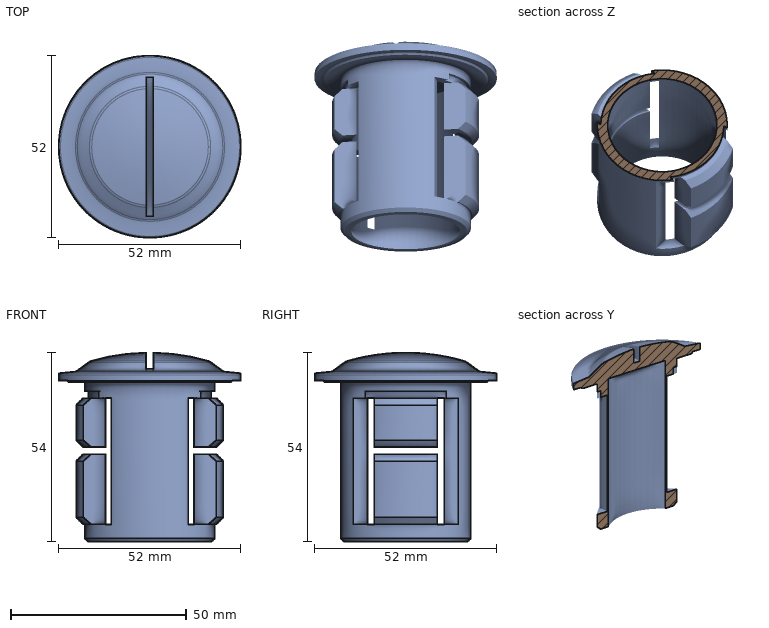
import cadquery as cq
import math

sleeve_radius = 18.6
bore_radius = 15.5
bottom_chamfer = 1.0

window_x = 11.0
window_bottom = 5.0
window_top = 41.0

finger_width = 18.0
finger_radius = 21.0
finger_chamfer = 2.0
finger_gap = 2.0
upper_finger_height = 14.0
lower_finger_height = window_top - window_bottom - finger_gap - upper_finger_height
upper_finger_bottom = window_top - upper_finger_height

groove_radius = 17.6
groove_width = 23.0
groove_height = 2.0

flange_radius = 26.0
flange_bottom = 46.0
flange_edge_top = 48.1
flange_edge_fillet = 0.5
lip_radius = 23.6
lip_height = 0.5
lip_chamfer = 0.5
cone_base_radius = 21.0
cone_base_height = 48.6
cone_top_radius = 17.0
cone_top_height = 51.5
cone_base_fillet = 1.0
cone_top_fillet = 2.2
head_top = 54.0

slot_width = 2.0
slot_length = 39.7
slot_depth = 5.5

bore_depth = flange_bottom


def sleeve():
    outer = cq.Workplane("XY").circle(sleeve_radius).extrude(flange_bottom)
    return outer.faces("<Z").chamfer(bottom_chamfer)


def dome_mid_point():
    """Point of the spherical dome halfway (in radius) between its rim and its top."""
    rise = head_top - cone_top_height
    sphere_radius = (cone_top_radius**2 + rise**2) / (2 * rise)
    mid_radius = cone_top_radius / 2
    drop = sphere_radius - math.sqrt(sphere_radius**2 - mid_radius**2)
    return (mid_radius, head_top - drop)


def circle_edges_at(radius, height):
    """Selector box around the circular edge with this radius and height."""
    margin = 0.05
    reach = radius + margin
    return cq.selectors.BoxSelector(
        (-reach, -reach, height - margin),
        (reach, reach, height + margin),
        boundingbox=True,
    )


def head():
    lip_bottom = flange_bottom - lip_height
    turned = (
        cq.Workplane("XZ")
        .moveTo(0, lip_bottom)
        .lineTo(lip_radius - lip_chamfer, lip_bottom)
        .lineTo(lip_radius, lip_bottom + lip_chamfer)
        .lineTo(flange_radius, flange_bottom)
        .lineTo(flange_radius, flange_edge_top)
        .lineTo(cone_base_radius, cone_base_height)
        .lineTo(cone_top_radius, cone_top_height)
        .threePointArc(dome_mid_point(), (0, head_top))
        .close()
        .revolve(360, (0, 0, 0), (0, 1, 0))
    )
    turned = turned.edges(circle_edges_at(flange_radius, flange_edge_top)).fillet(flange_edge_fillet)
    turned = turned.edges(circle_edges_at(cone_base_radius, cone_base_height)).fillet(cone_base_fillet)
    return turned.edges(circle_edges_at(cone_top_radius, cone_top_height)).fillet(cone_top_fillet)


def side_boxes(inner_x, width, bottom, height):
    """Mirrored pair of boxes running outward in X from inner_x to the flange radius."""
    length = flange_radius - inner_x
    center_x = inner_x + length / 2
    return (
        cq.Workplane("XY", origin=(0, 0, bottom))
        .pushPoints([(-center_x, 0), (center_x, 0)])
        .rect(length, width)
        .extrude(height)
    )


def windows():
    return side_boxes(window_x, 2 * flange_radius, window_bottom, window_top - window_bottom)


def relief_grooves():
    core = cq.Workplane("XY", origin=(0, 0, window_top)).circle(groove_radius).extrude(groove_height)
    return side_boxes(window_x, groove_width, window_top, groove_height).cut(core)


def fingers(bottom, height):
    """Opposite pair of fingers cut from a chamfered ring."""
    disc = cq.Workplane("XY", origin=(0, 0, bottom)).circle(finger_radius).extrude(height)
    ring = disc.edges().chamfer(finger_chamfer).cut(bore())
    return ring.intersect(side_boxes(window_x, finger_width, bottom, height))


def bore():
    return cq.Workplane("XY").circle(bore_radius).extrude(bore_depth)


def slot():
    return (
        cq.Workplane("XY", origin=(0, 0, head_top - slot_depth))
        .rect(slot_width, slot_length)
        .extrude(slot_depth)
    )


result = (
    sleeve()
    .union(head())
    .cut(bore())
    .cut(windows())
    .cut(relief_grooves())
    .union(fingers(window_bottom, lower_finger_height))
    .union(fingers(upper_finger_bottom, upper_finger_height))
    .cut(slot())
)